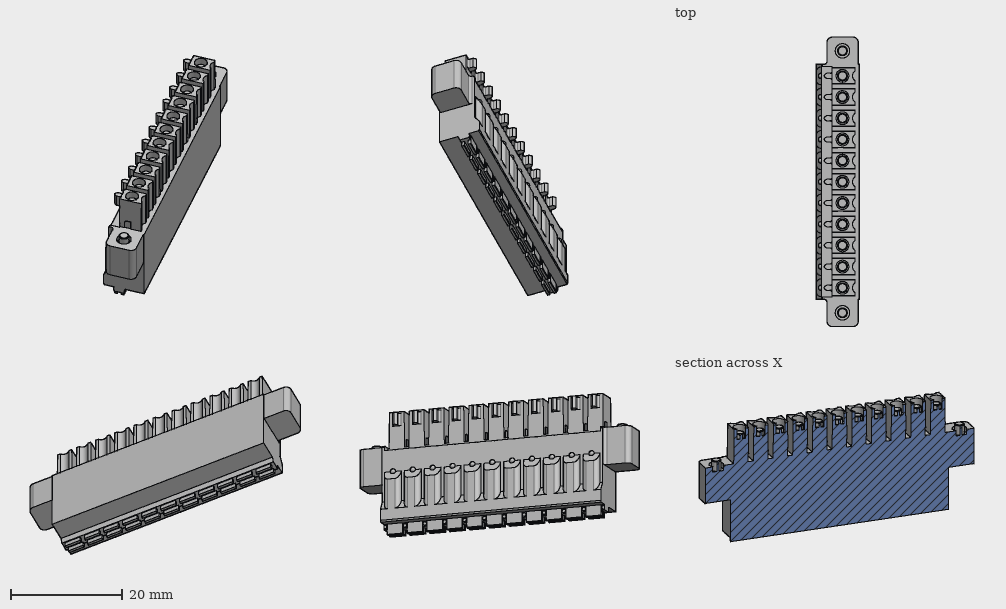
import cadquery as cq
import math

POLES = 11
PITCH = 3.81
TOTAL_LENGTH = 52.1
BODY_DEPTH = 7.75
TOTAL_HEIGHT = 22.9

BODY_HALF = 21.15
BODY_TOP = 16.3
BODY_BOTTOM = 2.0
WALL_X = 0.95
CHANNEL_TOP = 5.9
CHANNEL_BOTTOM = 4.35
EDGE_BEVEL_X = 0.12
EDGE_BEVEL_Z = 0.32

LEDGE_Z = 15.46
LEDGE_HALF = 20.7
END_WALL_BEVEL_X = 0.22
END_WALL_BEVEL_Z = 0.3

RIB_WIDTH = 3.2
RIB_ROUND = 0.9
RIB_TOP = 11.4
RIB_FRONT_TOP = 9.85

STUD_RADIUS = 0.5
RIB_STUD_X = 0.88
RIB_STUD_Z = 11.4

TOWER_FRONT = 2.85
TOWER_BACK = 6.95
TOWER_TOP_WIDTH = 2.82
TOWER_BASE_WIDTH = 3.0
SCALLOP_CHORD = 1.75
SCALLOP_DEPTH = 0.42
KEY_FRONT = 1.4
KEY_WIDTH = 0.96
KEY_NOSE = 0.52
KEY_NOSE_BULGE = 0.06
KEY_FLARE = 0.34
KEY_TOP = TOTAL_HEIGHT - 0.35
KEY_HEIGHT = 2.25
MARK_X = (3.8, 4.95)
MARK_HEIGHT = 1.65
MARK_ROUND = 0.4
MARK_DEPTH = 0.1

SCREW_X = 4.72
SCREW_RADIUS = 0.88
SCREW_BEVEL = 0.14
TOWER_HOLE_RADIUS = 1.15
TOWER_HOLE_DEPTH = 2.0
TOWER_SCREW_DROP = 1.05
FLANGE_HOLE_RADIUS = 1.3
FLANGE_HOLE_DEPTH = 1.0
FLANGE_SCREW_RISE = 0.95
FLANGE_SCREW_Y = 23.55

FLANGE_FRONT = 1.92
FLANGE_BACK = 7.58
FLANGE_BOTTOM = 9.35
FLANGE_CORNER = 1.0
FLANGE_FILLET = 0.5

RAIL_FRONT = 2.0
RAIL_PAD_THICKNESS = 0.1
RAIL_PAD_HALF_WIDTH = 0.4
RAIL_PAD_HALF_FLAT = 0.2
RAIL_PAD_HALF_HEIGHT = 0.3
RAIL_TOP_BACK = 4.15
RAIL_BOTTOM_BACK = 3.8
RAIL_BOTTOM = 1.0
PIN_FRONTS = (1.9, 3.15)
PIN_THICKNESS = 0.52
PIN_WIDTH = 2.95
PIN_BEVEL = 0.1

OVERLAP = 0.3
pole_positions = [(i - (POLES - 1) / 2) * PITCH for i in range(POLES)]


def extrude_along_y(points, half_length):
    """Extrude an X-Z outline symmetrically about Y = 0."""
    return cq.Workplane("XZ").polyline(points).close().extrude(half_length, both=True)


def box(x0, x1, y0, y1, z0, z1):
    return cq.Workplane("XY").box(x1 - x0, y1 - y0, z1 - z0, centered=False).translate((x0, y0, z0))


def make_body():
    body = extrude_along_y([
        (EDGE_BEVEL_X, BODY_BOTTOM),
        (BODY_DEPTH, BODY_BOTTOM),
        (BODY_DEPTH, BODY_TOP),
        (WALL_X + END_WALL_BEVEL_X, BODY_TOP),
        (WALL_X, BODY_TOP - END_WALL_BEVEL_Z),
        (WALL_X, CHANNEL_TOP),
        (0, CHANNEL_BOTTOM),
        (0, BODY_BOTTOM + EDGE_BEVEL_Z),
    ], BODY_HALF)
    return body.cut(box(0, TOWER_FRONT, -LEDGE_HALF, LEDGE_HALF, LEDGE_Z, BODY_TOP))


def make_rail():
    """Tapered bottom rail, with a hexagonal pad on its front in each gap between poles."""
    rail = extrude_along_y([
        (RAIL_FRONT, BODY_BOTTOM + OVERLAP),
        (RAIL_TOP_BACK, BODY_BOTTOM + OVERLAP),
        (RAIL_TOP_BACK, BODY_BOTTOM),
        (RAIL_BOTTOM_BACK, RAIL_BOTTOM),
        (RAIL_FRONT, RAIL_BOTTOM),
    ], BODY_HALF)
    pad = (
        cq.Workplane("YZ").workplane(offset=RAIL_FRONT - RAIL_PAD_THICKNESS)
        .polyline([
            (-RAIL_PAD_HALF_WIDTH, 0),
            (-RAIL_PAD_HALF_FLAT, -RAIL_PAD_HALF_HEIGHT),
            (RAIL_PAD_HALF_FLAT, -RAIL_PAD_HALF_HEIGHT),
            (RAIL_PAD_HALF_WIDTH, 0),
            (RAIL_PAD_HALF_FLAT, RAIL_PAD_HALF_HEIGHT),
            (-RAIL_PAD_HALF_FLAT, RAIL_PAD_HALF_HEIGHT),
        ]).close().extrude(RAIL_PAD_THICKNESS + OVERLAP)
    )
    pad_z = (RAIL_BOTTOM + BODY_BOTTOM) / 2
    for i in range(POLES + 1):
        rail = rail.union(pad.translate((0, (i - POLES / 2) * PITCH, pad_z)))
    return rail.intersect(box(0, BODY_DEPTH, -BODY_HALF, BODY_HALF, 0, TOTAL_HEIGHT))


def make_stud(x, z):
    return cq.Workplane("XY").sphere(STUD_RADIUS).translate((x, 0, z))


def make_screw(top, bottom):
    """Vertical screw head with a bevelled top rim."""
    screw = cq.Workplane("XY").workplane(offset=bottom).circle(SCREW_RADIUS).extrude(top - bottom)
    return screw.faces(">Z").chamfer(SCREW_BEVEL).translate((SCREW_X, 0, 0))


def make_screw_hole(radius, top, depth):
    hole = cq.Workplane("XY").workplane(offset=top - depth).center(SCREW_X, 0)
    return hole.circle(radius).extrude(depth)


def make_rib():
    """Rounded front rib with a sloped top, and its stud."""
    rib_back = WALL_X + OVERLAP
    base = CHANNEL_BOTTOM - OVERLAP
    rib = box(0, rib_back, -RIB_WIDTH / 2, RIB_WIDTH / 2, base, RIB_TOP)
    rib = rib.edges("|Z and <X").fillet(RIB_ROUND)
    slope = extrude_along_y([
        (0, base),
        (rib_back, base),
        (rib_back, RIB_TOP),
        (WALL_X, RIB_TOP),
        (0, RIB_FRONT_TOP),
    ], RIB_WIDTH)
    return rib.intersect(slope).union(make_stud(RIB_STUD_X, RIB_STUD_Z))


def make_key():
    """Key with a pointed, bowed nose, flaring out where it meets the tower front."""
    half = KEY_WIDTH / 2
    nose_start = KEY_FRONT + KEY_NOSE
    nose_side = math.hypot(KEY_NOSE, half)
    nose_mid_x = KEY_FRONT + KEY_NOSE / 2 - KEY_NOSE_BULGE * half / nose_side
    nose_mid_y = half / 2 + KEY_NOSE_BULGE * KEY_NOSE / nose_side
    flare_start = TOWER_FRONT - KEY_FLARE
    flare_half = half + KEY_FLARE
    root = TOWER_FRONT + OVERLAP
    flare_mid = KEY_FLARE * math.sqrt(0.5)
    flare_mid_x = flare_start + flare_mid
    flare_mid_y = flare_half - flare_mid
    return (
        cq.Workplane("XY").workplane(offset=KEY_TOP - KEY_HEIGHT)
        .moveTo(root, -flare_half)
        .lineTo(TOWER_FRONT, -flare_half)
        .threePointArc((flare_mid_x, -flare_mid_y), (flare_start, -half))
        .lineTo(nose_start, -half)
        .threePointArc((nose_mid_x, -nose_mid_y), (KEY_FRONT, 0))
        .threePointArc((nose_mid_x, nose_mid_y), (nose_start, half))
        .lineTo(flare_start, half)
        .threePointArc((flare_mid_x, flare_mid_y), (TOWER_FRONT, flare_half))
        .lineTo(root, flare_half)
        .close()
        .extrude(KEY_HEIGHT)
    )


def make_tower():
    """Tapered terminal tower with key, foot stud, scalloped back and sunken screw."""
    half_top = TOWER_TOP_WIDTH / 2
    half_base = TOWER_BASE_WIDTH / 2
    tower = (
        cq.Workplane("YZ").workplane(offset=TOWER_FRONT)
        .polyline([
            (-half_base, BODY_TOP - OVERLAP),
            (half_base, BODY_TOP - OVERLAP),
            (half_base, BODY_TOP),
            (half_top, TOTAL_HEIGHT),
            (-half_top, TOTAL_HEIGHT),
            (-half_base, BODY_TOP),
        ]).close().extrude(TOWER_BACK - TOWER_FRONT)
    )
    scallop_radius = ((SCALLOP_CHORD / 2) ** 2 + SCALLOP_DEPTH ** 2) / (2 * SCALLOP_DEPTH)
    scallop_x = TOWER_BACK - SCALLOP_DEPTH + scallop_radius
    scallop = (
        cq.Workplane("XY").workplane(offset=BODY_TOP).center(scallop_x, 0)
        .circle(scallop_radius).extrude(TOTAL_HEIGHT - BODY_TOP)
    )
    mark_floor = -(half_base - MARK_DEPTH)
    mark = box(*MARK_X, -half_base, mark_floor, BODY_TOP, BODY_TOP + MARK_HEIGHT)
    mark = mark.edges("|Y and >Z and <X").fillet(MARK_ROUND)
    hole = make_screw_hole(TOWER_HOLE_RADIUS, TOTAL_HEIGHT, TOWER_HOLE_DEPTH)
    screw = make_screw(TOTAL_HEIGHT - TOWER_SCREW_DROP, TOTAL_HEIGHT - TOWER_HOLE_DEPTH - OVERLAP)
    tower = tower.cut(scallop).cut(mark).cut(hole).union(screw)
    return tower.union(make_key()).union(make_stud(TOWER_FRONT, LEDGE_Z))


def make_pin(front):
    pin = box(front, front + PIN_THICKNESS, -PIN_WIDTH / 2, PIN_WIDTH / 2, 0, BODY_BOTTOM + OVERLAP)
    return pin.edges("<X and <Z").chamfer(PIN_BEVEL)


def make_flange():
    """Mounting flange at the +Y end, with its screw standing in a round hole."""
    end = TOTAL_LENGTH / 2
    fillet_mid = FLANGE_FILLET * (1 - math.sqrt(0.5))
    inner = BODY_HALF - OVERLAP
    plan = (
        cq.Workplane("XY").workplane(offset=FLANGE_BOTTOM)
        .moveTo(FLANGE_FRONT - FLANGE_FILLET, inner)
        .lineTo(FLANGE_FRONT - FLANGE_FILLET, BODY_HALF)
        .threePointArc((FLANGE_FRONT - fillet_mid, BODY_HALF + fillet_mid),
                       (FLANGE_FRONT, BODY_HALF + FLANGE_FILLET))
        .lineTo(FLANGE_FRONT, end)
        .lineTo(FLANGE_BACK, end)
        .lineTo(FLANGE_BACK, inner)
        .close()
    )
    flange = plan.extrude(BODY_TOP - FLANGE_BOTTOM)
    flange = flange.edges("|Z and >Y").fillet(FLANGE_CORNER)
    hole = make_screw_hole(FLANGE_HOLE_RADIUS, BODY_TOP, FLANGE_HOLE_DEPTH)
    screw = make_screw(BODY_TOP + FLANGE_SCREW_RISE, BODY_TOP - FLANGE_HOLE_DEPTH - OVERLAP)
    place = (0, FLANGE_SCREW_Y, 0)
    return flange.cut(hole.translate(place)).union(screw.translate(place))


pole_parts = [make_rib(), make_tower()] + [make_pin(front) for front in PIN_FRONTS]
flange = make_flange()
result = make_body().union(make_rail()).union(flange).union(flange.mirror("XZ"))
for y in pole_positions:
    for piece in pole_parts:
        result = result.union(piece.translate((0, y, 0)))